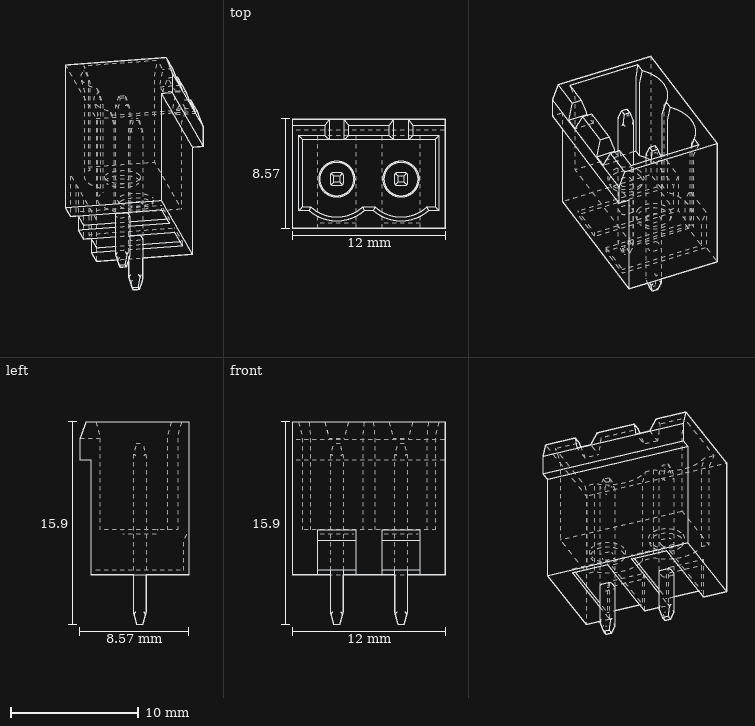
import cadquery as cq
import math


body_length = 12.0
body_depth = 7.7
body_height = 12.0

lip_reach = 0.87
lip_height = 3.0
lip_bevel_reach = 0.5
lip_bevel_height = 1.37

pin_count = 2
pitch = 5.04
pin_y = 3.86
pin_width = 1.02
pin_corner_radius = 0.22
pin_tip_width = 0.5
pin_tip_length = 0.99
pin_length_below = 3.9
pin_top_drop = 1.69

end_wall = 0.5
mouth_front = 1.38
mouth_rear = 7.28
flare_reach = 0.3
flare_angle = 15.0
cavity_depth = 8.43
scallop_radius = 3.29

notch_floor_width = 1.16
notch_depth = 1.3

floor_recess_radius = 1.42
floor_recess_taper = 0.1

window_width = 2.99
window_height = 3.53
window_depth = 0.43
window_roof_drop = 0.83
pocket_height = 0.37

flare_slope = math.tan(math.radians(flare_angle))
flare_depth = flare_reach / flare_slope
rear_lip_y = body_depth + lip_reach
cavity_floor = body_height - cavity_depth
pocket_rear = 2 * pin_y - window_depth
pin_positions = [(i - (pin_count - 1) / 2) * pitch for i in range(pin_count)]


def make_shell():
    """Solid block with the bevelled latch lip, extruded along X."""
    profile = [
        (0, 0),
        (body_depth, 0),
        (body_depth, body_height - lip_height),
        (rear_lip_y, body_height - lip_height),
        (rear_lip_y, body_height - lip_bevel_height),
        (rear_lip_y - lip_bevel_reach, body_height),
        (0, body_height),
    ]
    return cq.Workplane("YZ").polyline(profile).close().extrude(body_length / 2, both=True)


def rectangle_section(z, inset):
    """Cavity rectangle at height z, drawn in from the mouth by inset."""
    length = body_length - 2 * end_wall - 2 * inset
    width = mouth_rear - mouth_front - 2 * inset
    centre_y = (mouth_rear + mouth_front) / 2
    return cq.Workplane("XY", origin=(0, centre_y, z)).rect(length, width)


def cut_cavity(body):
    """Rectangular well with a flared mouth."""
    well = rectangle_section(cavity_floor, flare_reach).extrude(cavity_depth)
    flare = rectangle_section(body_height, 0).extrude(-flare_depth, taper=flare_angle)
    return body.cut(well).cut(flare)


def cut_scallop(body, x):
    """Round bay in the front wall concentric with a pin and flared like the cavity mouth."""
    bay = (
        cq.Workplane("XY", origin=(x, pin_y, cavity_floor))
        .circle(scallop_radius - flare_reach)
        .extrude(cavity_depth)
    )
    flare = (
        cq.Workplane("XY", origin=(x, pin_y, body_height))
        .circle(scallop_radius)
        .extrude(-flare_depth, taper=flare_angle)
    )
    front_wall = cq.Workplane("XY").box(
        body_length, mouth_front + flare_reach, body_height, centered=(True, False, False)
    )
    return body.cut(bay.union(flare).intersect(front_wall))


def cut_notch(body, x):
    """Trapezoidal notch through the rear wall."""
    half_floor = notch_floor_width / 2
    half_top = half_floor + notch_depth * flare_slope
    floor_z = body_height - notch_depth
    profile = [
        (-half_floor, floor_z),
        (half_floor, floor_z),
        (half_top, body_height),
        (-half_top, body_height),
    ]
    notch = (
        cq.Workplane("XZ", origin=(x, rear_lip_y, 0))
        .polyline(profile)
        .close()
        .extrude(rear_lip_y - pin_y)
    )
    return body.cut(notch)


def cut_floor_recess(body, x):
    """Shallow conical recess in the cavity floor around a pin."""
    recess = (
        cq.Workplane("XY", origin=(x, pin_y, cavity_floor))
        .circle(floor_recess_radius)
        .extrude(-floor_recess_taper / flare_slope, taper=flare_angle)
    )
    return body.cut(recess)


def cut_window(body, x):
    """Front window with a sloping roof, opening into a pocket under the pin."""
    profile = [
        (0, 0),
        (pocket_rear, 0),
        (pocket_rear, pocket_height),
        (window_depth, pocket_height),
        (window_depth, window_height - window_roof_drop),
        (0, window_height),
    ]
    window = (
        cq.Workplane("YZ", origin=(x, 0, 0))
        .polyline(profile)
        .close()
        .extrude(window_width / 2, both=True)
    )
    return body.cut(window)


def make_pin(x):
    """Square pin with rounded corners and a blunt pyramid at each end."""
    bottom = -pin_length_below
    top = body_height - pin_top_drop
    bar = (
        cq.Workplane("XY", origin=(x, pin_y, bottom))
        .rect(pin_width, pin_width)
        .extrude(top - bottom)
        .edges("|Z")
        .fillet(pin_corner_radius)
    )
    half_width = pin_width / 2
    half_tip = pin_tip_width / 2
    outline = [
        (-half_tip, bottom),
        (half_tip, bottom),
        (half_width, bottom + pin_tip_length),
        (half_width, top - pin_tip_length),
        (half_tip, top),
        (-half_tip, top),
        (-half_width, top - pin_tip_length),
        (-half_width, bottom + pin_tip_length),
    ]
    for plane in ("XZ", "YZ"):
        side = cq.Workplane(plane, origin=(x, pin_y, 0)).polyline(outline).close()
        bar = bar.intersect(side.extrude(pin_width, both=True))
    return bar


def make_housing(pins):
    """Complete housing with each pin seated in a matching hole."""
    body = cut_cavity(make_shell())
    for x, pin in zip(pin_positions, pins):
        body = cut_scallop(body, x)
        body = cut_notch(body, x)
        body = cut_floor_recess(body, x)
        body = cut_window(body, x)
        body = body.cut(pin)
    return body


pins = [make_pin(x) for x in pin_positions]
housing = make_housing(pins)

result = cq.Compound.makeCompound([housing.val(), *[pin.val() for pin in pins]])